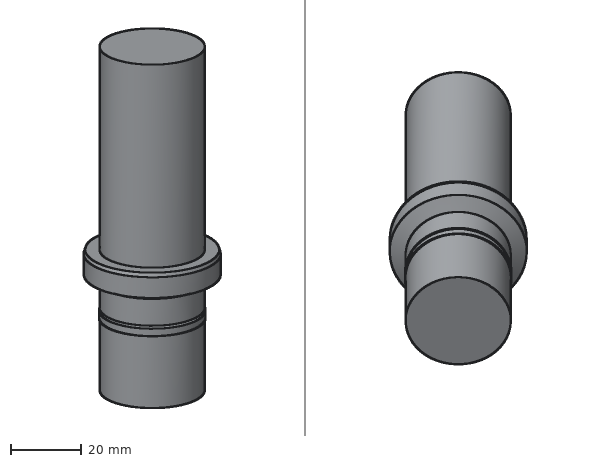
import cadquery as cq

total_height = 104.0
shaft_diameter = 30.0

collar_diameter = 39.0
collar_top = 42.5
collar_height = 7.5
top_taper_height = 1.2
top_taper_width = 0.4
under_cone_height = 2.0

band_diameter = 30.4
band_bottom = 21.8
band_height = 2.3
groove_diameter = 23.7
groove_width = 0.8

shaft_radius = shaft_diameter / 2
collar_radius = collar_diameter / 2
band_radius = band_diameter / 2
groove_radius = groove_diameter / 2

collar_bottom = collar_top - collar_height
band_top = band_bottom + band_height
groove_top = band_top + groove_width

profile = [
    (0, 0),
    (shaft_radius, 0),
    (shaft_radius, band_bottom),
    (band_radius, band_bottom),
    (band_radius, band_top),
    (groove_radius, band_top),
    (groove_radius, groove_top),
    (shaft_radius, groove_top),
    (shaft_radius, collar_bottom - under_cone_height),
    (collar_radius, collar_bottom),
    (collar_radius, collar_top - top_taper_height),
    (collar_radius - top_taper_width, collar_top),
    (shaft_radius, collar_top),
    (shaft_radius, total_height),
    (0, total_height),
]

result = cq.Workplane("XZ").polyline(profile).close().revolve(360, (0, 0), (0, 1))